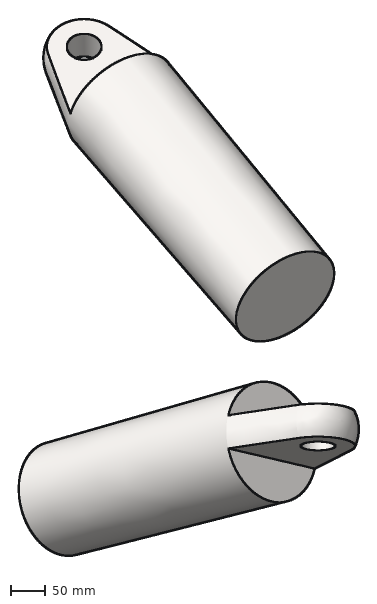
import cadquery as cq
import math

total_length = 612.0
front_radius = 90.0
rear_radius = 85.0

nose_radius = 60.0
shoulder_x = 160.0
eye_thickness = 50.0
hole_diameter = 51.0

front_band = 2.0
rear_band = 3.5

rim_run = shoulder_x - nose_radius
rim_distance = math.hypot(rim_run, front_radius)
tangent_angle = math.atan2(front_radius, rim_run) + math.acos(nose_radius / rim_distance)


def nose_point(angle):
    """Point on the nose circle, with the angle measured from +X."""
    return (
        nose_radius + nose_radius * math.cos(angle),
        nose_radius * math.sin(angle),
    )


def make_turned_blank():
    """Nose, cone and tapered body turned about the X axis."""
    arc_middle = (tangent_angle + math.pi) / 2
    return (
        cq.Workplane("XY")
        .moveTo(0, 0)
        .threePointArc(nose_point(arc_middle), nose_point(tangent_angle))
        .lineTo(shoulder_x, front_radius)
        .lineTo(shoulder_x + front_band, front_radius)
        .lineTo(total_length - rear_band, rear_radius)
        .lineTo(total_length, rear_radius)
        .lineTo(total_length, 0)
        .close()
        .revolve(360, (0, 0, 0), (1, 0, 0))
    )


def make_flat_cutter(side):
    """Block that trims the eye flat on one side (+1 top, -1 bottom)."""
    cut_depth = front_radius
    center_z = side * (eye_thickness + cut_depth) / 2
    return (
        cq.Workplane("XY")
        .box(shoulder_x, 2 * front_radius, cut_depth)
        .translate((shoulder_x / 2, 0, center_z))
    )


def make_hole_cutter():
    """Cross hole through the eye, concentric with the nose."""
    return (
        cq.Workplane("XY", origin=(0, 0, -eye_thickness / 2))
        .center(nose_radius, 0)
        .circle(hole_diameter / 2)
        .extrude(eye_thickness)
    )


result = make_turned_blank()
for side in (1, -1):
    result = result.cut(make_flat_cutter(side))
result = result.cut(make_hole_cutter())